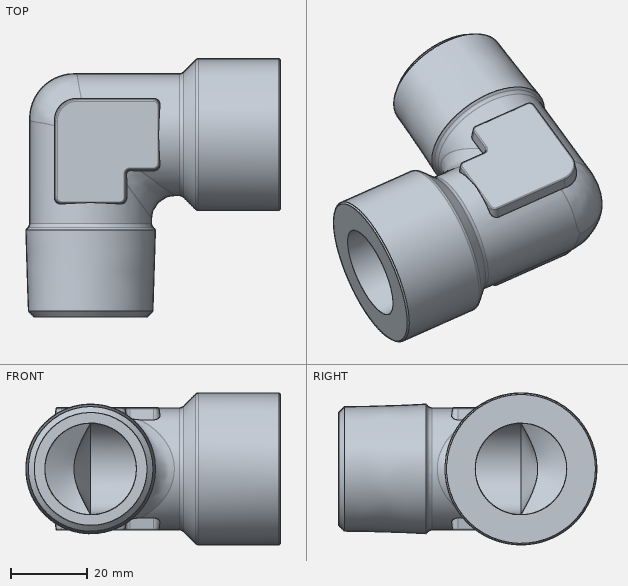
import cadquery as cq
import math

arm_radius = 16.05
bore_radius = 12.05
bore_tip_angle = 120.0

heel_fillet = 11.8
throat_fillet = 6.0
throat_half_height = 14.95

flare_start = 24.0
flare_root_fillet = 1.5

collar_radius = 20.0
collar_face = 50.0
collar_shoulder_fillet = 1.0
collar_rim_chamfer = 0.4

spigot_radius = 17.1
spigot_face = 48.0
spigot_taper = 1 / 32
spigot_chamfer = 1.55

pad_top = 16.1
pad_root = 8.15
pad_half_width = 9.05
pad_reach = 17.95
pad_draft = 8.5
pad_heel_radius = 5.45
pad_corner_radius = 1.35
pad_edge_fillet = 0.35


def along_spigot(solid):
    """Turn a solid a quarter turn about Z, so that +X becomes -Y."""
    return solid.rotate((0, 0, 0), (0, 0, 1), -90)


def revolve_about_x(points):
    return cq.Workplane("XY").polyline(points).close().revolve(360, (0, 0, 0), (1, 0, 0))


def fillet_circle(solid, distance, radius):
    """Round the circular edge centred on the X axis at the given distance from the origin."""
    return solid.edges(cq.selectors.NearestToPointSelector((distance, 0, 0))).fillet(radius)


def mitre_edges(solid, side):
    """Mitre edges on the throat side (+1) or on the heel side (-1) of the elbow."""
    tolerance = 0.001
    centres = [(edge, edge.Center()) for edge in solid.edges("%ELLIPSE").vals()]
    on_mitre = [edge for edge, c in centres if side * c.x > 0 and math.isclose(c.x, -c.y, abs_tol=tolerance)]
    return solid.newObject(on_mitre)


def plain_elbow():
    """Two equal cylinders mitred at the origin."""
    reach = arm_radius + flare_start
    cylinder = cq.Workplane("YZ").workplane(offset=-arm_radius).circle(arm_radius).extrude(reach)
    wedge = cq.Workplane("XY").polyline([(-reach, reach), (reach, -reach), (reach, reach)]).close()
    socket_arm = cylinder.intersect(wedge.extrude(arm_radius, both=True))
    spigot_arm = along_spigot(socket_arm.mirror("XZ"))
    return socket_arm.union(spigot_arm)


def rounded_throat(elbow):
    """Inner quarter of the elbow, with its mitre edge rounded."""
    width = arm_radius + flare_start
    quarter = cq.Workplane("XY").box(width, width, 2 * throat_half_height).translate((width / 2, -width / 2, 0))
    return mitre_edges(elbow.intersect(quarter), 1).fillet(throat_fillet)


def top_pad():
    """L-shaped pad with drafted sides and a softened top edge."""
    half = pad_half_width
    reach = pad_reach
    heel = (-half, half)
    outline = [heel, (reach, half), (reach, -half), (half, -half), (half, -reach), (-half, -reach), heel]
    heel_corner = ">(-1, 1, 0)"
    shape = cq.Sketch().polygon(outline)
    shape = shape.vertices(f"not {heel_corner}").fillet(pad_corner_radius).reset()
    shape = shape.vertices(heel_corner).fillet(pad_heel_radius).reset()
    pad = cq.Workplane("XY").workplane(offset=pad_top).placeSketch(shape)
    pad = pad.extrude(pad_root - pad_top, taper=-pad_draft)
    return pad.faces(">Z").edges().fillet(pad_edge_fillet)


def flared_end(flare_radius, end_radius, face, end_chamfer):
    """Arm end along +X: a stub of the arm, a 45 degree flare, then a straight or tapered barrel."""
    flare_end = flare_start + flare_radius - arm_radius
    profile = [
        (arm_radius, 0),
        (arm_radius, arm_radius),
        (flare_start, arm_radius),
        (flare_end, flare_radius),
        (face - end_chamfer, end_radius),
        (face, end_radius - end_chamfer),
        (face, 0),
    ]
    return fillet_circle(revolve_about_x(profile), flare_start, flare_root_fillet)


def collar():
    end = flared_end(collar_radius, collar_radius, collar_face, collar_rim_chamfer)
    shoulder = flare_start + collar_radius - arm_radius
    return fillet_circle(end, shoulder, collar_shoulder_fillet)


def spigot():
    flare_end = flare_start + spigot_radius - arm_radius
    tip_radius = spigot_radius - spigot_taper * (spigot_face - spigot_chamfer - flare_end)
    return along_spigot(flared_end(spigot_radius, tip_radius, spigot_face, spigot_chamfer))


def bore(face):
    """Bore along X with a conical end just past the origin."""
    tip_depth = bore_radius / math.tan(math.radians(bore_tip_angle / 2))
    return revolve_about_x([(-tip_depth, 0), (0, bore_radius), (face, bore_radius), (face, 0)])


elbow = plain_elbow()
pad = top_pad()
body = elbow.union(pad).union(pad.mirror("XY"))
body = mitre_edges(body, -1).fillet(heel_fillet)
body = body.union(rounded_throat(elbow)).union(collar()).union(spigot())
result = body.cut(bore(collar_face)).cut(along_spigot(bore(spigot_face)))